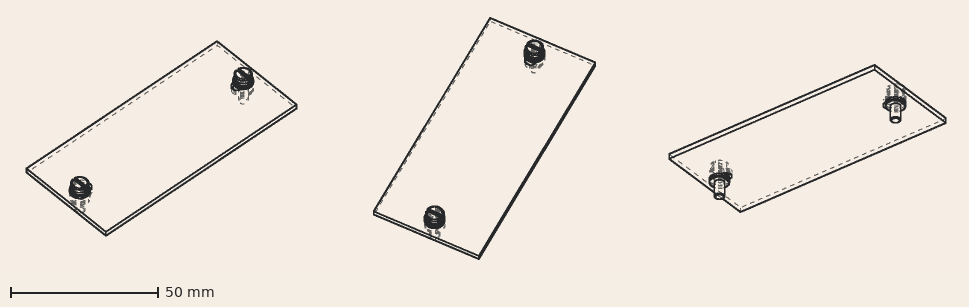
import cadquery as cq

PLATE_WIDTH = 40.0
PLATE_LENGTH = 87.7
PLATE_THICKNESS = 2.0

SCREW_SPACING = 75.2
SCREW_TOP_HEIGHT = 4.1
SCREW_BOTTOM_DEPTH = 7.4
SHANK_RADIUS = 1.75
SHANK_CHAMFER = 0.35

SLOT_RADIUS = 2.0
SLOT_TRAVEL = 2.8

WASHER_RADIUS = 3.5
WASHER_THICKNESS = 0.8

RETAINER_RADIUS = 3.4
RETAINER_THICKNESS = 0.6
RETAINER_FLAT_OFFSET = 2.8

HEAD_RADIUS = 3.1
HEAD_CHAMFER_RADIAL = 0.5
HEAD_CHAMFER_HEIGHT = 0.35
DRIVE_SLOT_WIDTH = 1.05
DRIVE_SLOT_DEPTH = 1.05

GROOVE_HEIGHT = 1.05
GROOVE_DEPTH = 0.3
GROOVE_ABOVE_WASHER = 0.5
WIRE_HOLE_RADIUS = 0.6

SCREW_TOP = PLATE_THICKNESS + SCREW_TOP_HEIGHT
WASHER_TOP = PLATE_THICKNESS + WASHER_THICKNESS
GROOVE_BOTTOM = WASHER_TOP + GROOVE_ABOVE_WASHER
GROOVE_MIDDLE = GROOVE_BOTTOM + GROOVE_HEIGHT / 2
GROOVE_TOP = GROOVE_BOTTOM + GROOVE_HEIGHT


def disc(radius, bottom, top):
    """Cylinder on the Z axis between two heights."""
    return cq.Workplane("XY").workplane(offset=bottom).circle(radius).extrude(top - bottom)


def make_plate():
    """Flat plate with a clearance slot at each screw."""
    plate = cq.Workplane("XY").box(
        PLATE_WIDTH, PLATE_LENGTH, PLATE_THICKNESS, centered=(True, True, False)
    )
    slot_middle = SCREW_SPACING / 2 - SLOT_TRAVEL / 2
    slots = (
        cq.Workplane("XY")
        .pushPoints([(0, slot_middle), (0, -slot_middle)])
        .slot2D(SLOT_TRAVEL + 2 * SLOT_RADIUS, 2 * SLOT_RADIUS, angle=90)
        .extrude(PLATE_THICKNESS)
    )
    return plate.cut(slots)


def make_head():
    """Grooved cheese head with a chamfered rim, drive slot and cross hole."""
    head = (
        cq.Workplane("XZ")
        .moveTo(0, WASHER_TOP)
        .lineTo(HEAD_RADIUS, WASHER_TOP)
        .lineTo(HEAD_RADIUS, GROOVE_BOTTOM)
        .threePointArc((HEAD_RADIUS - GROOVE_DEPTH, GROOVE_MIDDLE), (HEAD_RADIUS, GROOVE_TOP))
        .lineTo(HEAD_RADIUS, SCREW_TOP - HEAD_CHAMFER_HEIGHT)
        .lineTo(HEAD_RADIUS - HEAD_CHAMFER_RADIAL, SCREW_TOP)
        .lineTo(0, SCREW_TOP)
        .close()
        .revolve(360, (0, 0, 0), (0, 1, 0))
    )
    drive_slot = (
        cq.Workplane("XY")
        .workplane(offset=SCREW_TOP - DRIVE_SLOT_DEPTH)
        .rect(2 * HEAD_RADIUS, DRIVE_SLOT_WIDTH)
        .extrude(DRIVE_SLOT_DEPTH)
    )
    wire_hole = (
        cq.Workplane("XZ")
        .center(0, GROOVE_MIDDLE)
        .circle(WIRE_HOLE_RADIUS)
        .extrude(HEAD_RADIUS, both=True)
    )
    return head.cut(drive_slot).cut(wire_hole)


def make_retainer():
    """Thin round washer with its +Y side cut off flat."""
    top = -WASHER_THICKNESS
    bottom = top - RETAINER_THICKNESS
    kept_length = RETAINER_FLAT_OFFSET + RETAINER_RADIUS
    kept_region = cq.Workplane("XY").box(
        2 * RETAINER_RADIUS, kept_length, RETAINER_THICKNESS, centered=(True, True, False)
    ).translate((0, RETAINER_FLAT_OFFSET - kept_length / 2, bottom))
    return disc(RETAINER_RADIUS, bottom, top).intersect(kept_region)


def make_screw():
    """Screw on the Z axis together with its washers."""
    shank = disc(SHANK_RADIUS, -SCREW_BOTTOM_DEPTH, WASHER_TOP).faces("<Z").chamfer(SHANK_CHAMFER)
    upper_washer = disc(WASHER_RADIUS, PLATE_THICKNESS, WASHER_TOP)
    lower_washer = disc(WASHER_RADIUS, -WASHER_THICKNESS, 0)
    return shank.union(upper_washer).union(lower_washer).union(make_retainer()).union(make_head())


result = make_plate()
screw = make_screw()
for side in (1, -1):
    result = result.union(screw.translate((0, side * SCREW_SPACING / 2, 0)))